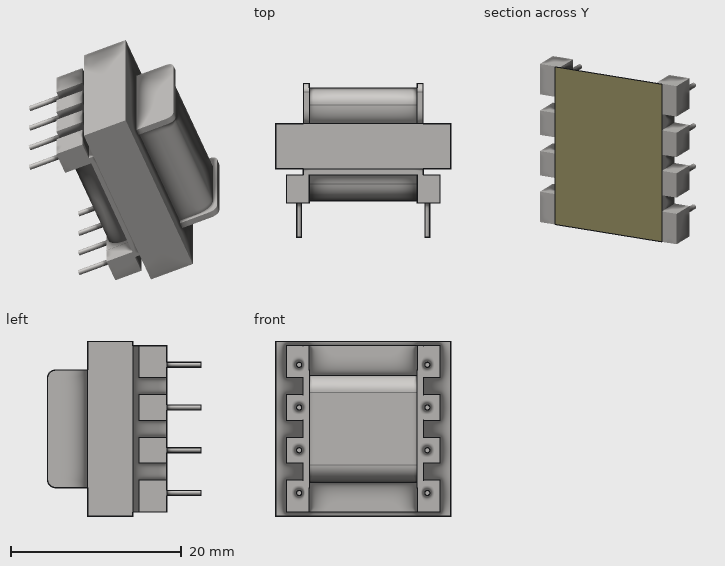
import cadquery as cq


core_side = 20.5
core_depth = 5.3
core_front = -core_depth / 2
core_back = core_depth / 2

wall = 0.7
winding_length = 12.6
flange_height = 13.8
flange_overhang = 4.7
flange_corner_radius = 1.0
flange_back = core_back + flange_overhang

base_width = 14.1
base_height = 19.5
rail_outer_width = 18.0
rail_depth = 3.3
base_front = core_front - wall
rail_front = base_front - rail_depth
rail_setback = 0.02
rail_inner_gap = winding_length + 2 * rail_setback
notch_height = 2.0
notch_depth = (rail_outer_width - base_width) / 2

winding_height = 12.5
winding_corner_radius = 2.0
winding_front_inset = 0.25
winding_back_inset = 0.5
winding_front = rail_front + winding_front_inset
winding_back = flange_back - winding_back_inset

pin_diameter = 0.6
pin_length = 4.0
pin_pitch = 5.0
pins_per_row = 4
row_spacing = 15.0


def block(width, height, y_front, y_back, x_center=0, z_center=0):
    """Box centred at (x_center, z_center) that spans y_front to y_back."""
    depth = y_back - y_front
    center = (x_center, (y_front + y_back) / 2, z_center)
    return cq.Workplane("XY").box(width, depth, height).translate(center)


def row_positions(count):
    """Z heights of evenly pitched places, centred on Z = 0."""
    return [(i - (count - 1) / 2) * pin_pitch for i in range(count)]


def make_flange(side):
    """Winding end wall, running from the rail front to the back of the bobbin."""
    x_center = side * (winding_length + wall) / 2
    flange = block(wall, flange_height, rail_front, flange_back, x_center)
    return flange.edges("|X and >Y").fillet(flange_corner_radius)


def make_rail(side):
    """Pin rail with a notch in its outer side between each pair of pins."""
    rail_width = (rail_outer_width - rail_inner_gap) / 2
    x_center = side * (rail_outer_width - rail_width) / 2
    rail = block(rail_width, base_height, rail_front, base_front, x_center)
    notch_x = side * (rail_outer_width - notch_depth) / 2
    for z in row_positions(pins_per_row - 1):
        rail = rail.cut(block(notch_depth, notch_height, rail_front, base_front, notch_x, z))
    return rail


def make_winding():
    winding = block(winding_length, winding_height, winding_front, winding_back)
    return winding.edges("|X").fillet(winding_corner_radius)


def make_pins(side):
    places = [(side * row_spacing / 2, z) for z in row_positions(pins_per_row)]
    plane = cq.Workplane("XZ", origin=(0, rail_front, 0))
    return plane.pushPoints(places).circle(pin_diameter / 2).extrude(pin_length)


result = block(core_side, core_side, core_front, core_back)
result = result.union(block(base_width, base_height, base_front, core_front))
result = result.union(make_winding())
for side in (-1, 1):
    result = result.union(make_flange(side))
    result = result.union(make_rail(side))
    result = result.union(make_pins(side))